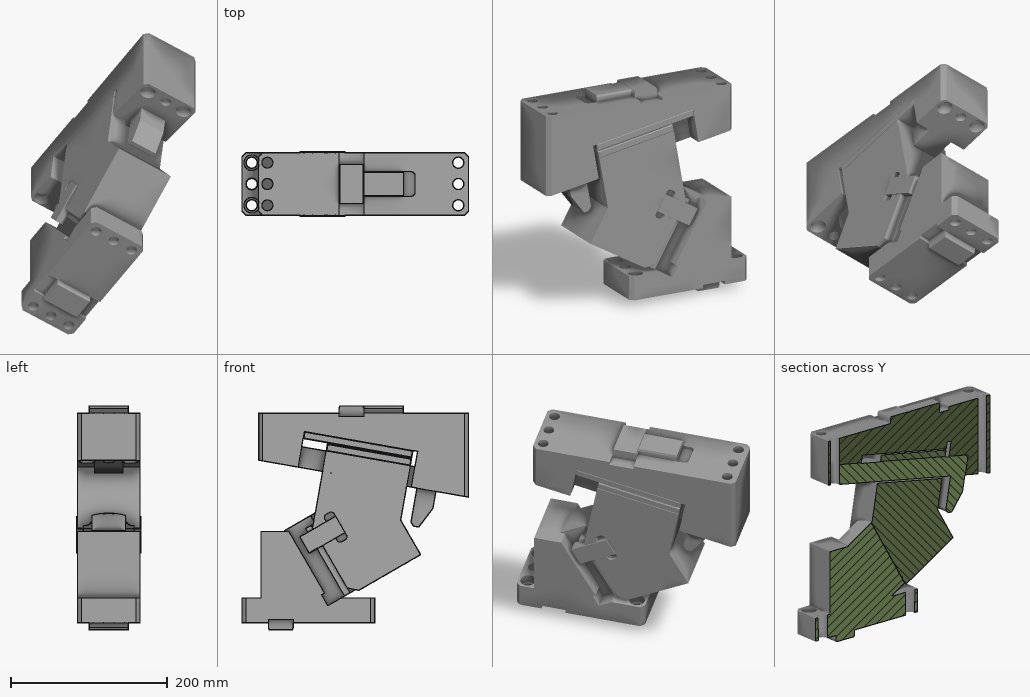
import cadquery as cq
import math


WIDTH = 80.0
CORNER_CHAMFER = 5.2
BIG = 580

HOLE_SPACING = 27.3
HOLE_DIA = 14.0
HEAD_DIA = 20.0

KEY_WIDTH = 32.0
KEY_LENGTH = 50.0
KEY_STAND_OUT = 9.0
KEYWAY_DEPTH = 4.5
KEY_CHAMFER = 1.2
KEY_CHAMFER_HEIGHT = 3.0

BASE_LENGTH = 170.0
FOOT_HEIGHT = 32.0
BLOCK_LEFT = 24.5
BLOCK_HEIGHT = 117.2
BASE_KEY_LEFT = 34.0
BASE_HOLE_INSET = 12.8
BASE_HEAD_DEPTH = 11.5
DOWEL_RELIEF_DIA = 15.0

GUIDE_ANGLE = 60
SEAT_X = 60.0
SEAT_GROOVE_DEPTH = 4.4
SEAT_GROOVE_START = 91.0
SEAT_END = 107.3

RAIL_START = -3.5
NECK_WIDTH = 43.0
FLANGE_START = 7.8
FLANGE_WIDTH = 65.0
FLANGE_UNDERSIDE = 20.3
FLANGE_TOP = 28.5
CROWN_RADIUS = 39.2
CROWN_HEIGHT = 40.5

DRIVER_LEFT = 21.5
DRIVER_RIGHT = 290.0
DRIVER_TOP = 268.2
DRIVER_LEFT_BOTTOM = 208.0
DRIVER_HOLE_LEFT = 32.8
DRIVER_HOLE_RIGHT = 276.7
DRIVER_HEAD_SEAT = 223.3
DRIVER_KEY_LEFT = 124.0
LONG_KEY_END = 206.5
LONG_KEYWAY_END = 221.5
LONG_KEYWAY_RADIUS = 5.8

DRIVE_ANGLE = 10
RECESS_LEFT = 51.3
RECESS_RIGHT = 198.0
RECESS_HEIGHT = 46.5
WEAR_PLATE = 9.3
PLATE_GAP = 1.2
PLATE_CHAMFER = 1.0
SLIDE_PLATE_BOTTOM = RECESS_HEIGHT - 2 * WEAR_PLATE - PLATE_GAP

SLIDE_LEFT = 83.0
SLIDE_RIGHT = 192.3
SLIDE_END = 110.2
SLIDE_BACK = 131.0
SLIDE_TOE_ALONG = 10.5
SLIDE_TOE_OUT = 11.3

KEEPER_START = 13.3
KEEPER_END = 37.5
KEEPER_BOTTOM = 8.7
KEEPER_TOP = 61.5
KEEPER_INSIDE = 33.0
KEEPER_OUTSIDE = 41.5
KEEPER_LIP = 27.0
KEEPER_LIP_RADIUS = 10.2
RELIEF_REACH = 8.0
RELIEF_WIDTH = 14.0
RELIEF_RADIUS = 4.5

BAR_WIDTH = 36.0
BAR_LEFT = 3.0
HOOK_LEFT = 205.3
HOOK_RIGHT = 230.3
HOOK_DROP = 48.7
HOOK_NOSE_CHAMFER = 4.5
HOOK_NOSE_RIGHT = 216.3
HOOK_SHOULDER_DROP = 21.8
BAR_CLEARANCE = 1.7


def side_plane(x, z, angle, y=0):
    """Plane facing -Y whose local X points right and down by `angle` degrees."""
    tilt = math.radians(angle)
    return cq.Plane((x, y, z), (math.cos(tilt), 0, -math.sin(tilt)), (0, -1, 0))


GUIDE = side_plane(SEAT_X, BLOCK_HEIGHT, GUIDE_ANGLE)
DRIVE = side_plane(DRIVER_LEFT, DRIVER_LEFT_BOTTOM, DRIVE_ANGLE)
FRONT = side_plane(0, 0, 0)


def slab(plane, points, width):
    """Prism of an outline, centred on Y = 0."""
    return cq.Workplane(plane).polyline(points).close().extrude(width / 2, both=True)


def bar(plane, x0, x1, y0, y1, width):
    """Rectangular prism of a given width, centred on Y = 0."""
    return slab(plane, [(x0, y0), (x1, y0), (x1, y1), (x0, y1)], width)


def point_on(plane, along, out):
    """X and Z of a point given in a tilted frame."""
    place = plane.toWorldCoords((along, out))
    return place.x, place.z


def key(length, width, height):
    """Key with chamfered long upper edges; it runs along Y and stands on Z = 0."""
    outline = [
        (-width / 2, 0),
        (width / 2, 0),
        (width / 2, height - KEY_CHAMFER_HEIGHT),
        (width / 2 - KEY_CHAMFER, height),
        (KEY_CHAMFER - width / 2, height),
        (-width / 2, height - KEY_CHAMFER_HEIGHT),
    ]
    return slab(FRONT, outline, length)


def chamfer_corners(body, x0, x1):
    """Cut the four vertical corner edges of a body that spans x0 to x1."""
    outline = cq.Workplane().center((x0 + x1) / 2, 0).rect(x1 - x0, WIDTH).extrude(BIG)
    return body.intersect(outline.edges("|Z").chamfer(CORNER_CHAMFER))


def cylinder(x, y, diameter, z0, z1):
    return cq.Workplane(origin=(x, y, z0)).circle(diameter / 2).extrude(z1 - z0)


def rail_section(start, end, flange_start):
    """Rail of T section with a crowned top; the flanges begin at flange_start."""
    top = cq.Plane(GUIDE.toWorldCoords((start, CROWN_HEIGHT - CROWN_RADIUS)), (0, 1, 0), GUIDE.xDir)
    crown = cq.Workplane(top).circle(CROWN_RADIUS).extrude(end - start)
    neck = bar(GUIDE, start, end, FLANGE_UNDERSIDE, BIG, NECK_WIDTH).intersect(crown)
    neck = neck.union(bar(GUIDE, start, end, -SEAT_GROOVE_DEPTH, FLANGE_UNDERSIDE, NECK_WIDTH))
    flange_crown = bar(GUIDE, flange_start, end, FLANGE_UNDERSIDE, BIG, FLANGE_WIDTH).intersect(crown)
    flanges = bar(GUIDE, flange_start, end, FLANGE_UNDERSIDE, FLANGE_TOP, FLANGE_WIDTH)
    return neck.union(flange_crown).union(flanges)


def base_holes():
    cuts = cq.Workplane()
    for x in (BASE_HOLE_INSET, BASE_LENGTH - BASE_HOLE_INSET):
        cuts = cuts.add(cylinder(x, 0, DOWEL_RELIEF_DIA, FOOT_HEIGHT / 2, FOOT_HEIGHT))
        for y in (-HOLE_SPACING, 0, HOLE_SPACING):
            cuts = cuts.add(cylinder(x, y, HOLE_DIA, 0, FOOT_HEIGHT))
        for y in (-HOLE_SPACING, HOLE_SPACING):
            cuts = cuts.add(cylinder(x, y, HEAD_DIA, FOOT_HEIGHT - BASE_HEAD_DEPTH, FOOT_HEIGHT))
    return cuts.combine()


def make_base():
    block_right, _ = point_on(GUIDE, SEAT_END, 0)
    block = bar(FRONT, BLOCK_LEFT, block_right, 0, BLOCK_HEIGHT, WIDTH)
    block = block.union(bar(FRONT, 0, BASE_LENGTH, 0, FOOT_HEIGHT, WIDTH))
    block = block.cut(bar(GUIDE, -BIG, SEAT_END, 0, BIG, BIG))
    block = block.cut(bar(GUIDE, SEAT_GROOVE_START, SEAT_END, -SEAT_GROOVE_DEPTH, BIG, BIG))
    block = chamfer_corners(block, 0, BASE_LENGTH).cut(base_holes())
    key_right = BASE_KEY_LEFT + KEY_WIDTH
    block = block.cut(bar(FRONT, BASE_KEY_LEFT, key_right, 0, KEYWAY_DEPTH, BIG))
    base_key = key(KEY_LENGTH, KEY_WIDTH, KEYWAY_DEPTH + KEY_STAND_OUT).mirror("XY")
    base_key = base_key.translate((BASE_KEY_LEFT + KEY_WIDTH / 2, 0, KEYWAY_DEPTH))
    return block.union(base_key).union(rail_section(RAIL_START, SEAT_END, FLANGE_START))


def driver_holes():
    cuts = cq.Workplane()
    for x in (DRIVER_HOLE_LEFT, DRIVER_HOLE_RIGHT):
        for y in (-HOLE_SPACING, 0, HOLE_SPACING):
            cuts = cuts.add(cylinder(x, y, HOLE_DIA, 0, DRIVER_TOP))
        for y in (-HOLE_SPACING, HOLE_SPACING):
            cuts = cuts.add(cylinder(x, y, HEAD_DIA, 0, DRIVER_HEAD_SEAT))
    return cuts.combine()


def wear_plate(left, right, bottom):
    plate = bar(DRIVE, left, right, bottom, bottom + WEAR_PLATE, WIDTH)
    return plate.faces("<Y or >Y").edges().chamfer(PLATE_CHAMFER)


def driver_keys(block):
    """Cut the cross keyway and the long keyway, and add the key in each."""
    floor = DRIVER_TOP - KEYWAY_DEPTH
    height = KEYWAY_DEPTH + KEY_STAND_OUT
    key_right = DRIVER_KEY_LEFT + KEY_WIDTH
    block = block.cut(bar(FRONT, DRIVER_KEY_LEFT, key_right, floor, BIG, BIG))
    long_keyway = (
        cq.Workplane(origin=((key_right + LONG_KEYWAY_END) / 2, 0, floor))
        .rect(LONG_KEYWAY_END - key_right, KEY_WIDTH)
        .extrude(BIG)
        .edges("|Z and >X")
        .fillet(LONG_KEYWAY_RADIUS)
    )
    cross_key = key(KEY_LENGTH, KEY_WIDTH, height)
    cross_key = cross_key.translate((DRIVER_KEY_LEFT + KEY_WIDTH / 2, 0, floor))
    long_key = key(LONG_KEY_END - key_right, KEY_WIDTH, height).rotate((0, 0, 0), (0, 0, 1), 90)
    long_key = long_key.translate(((key_right + LONG_KEY_END) / 2, 0, floor))
    return block.cut(long_keyway).union(cross_key).union(long_key)


def make_driver(return_bar):
    length = DRIVER_RIGHT - DRIVER_LEFT
    right_bottom = DRIVER_LEFT_BOTTOM - length * math.tan(math.radians(DRIVE_ANGLE))
    block = slab(
        FRONT,
        [
            (DRIVER_LEFT, DRIVER_LEFT_BOTTOM),
            (DRIVER_RIGHT, right_bottom),
            (DRIVER_RIGHT, DRIVER_TOP),
            (DRIVER_LEFT, DRIVER_TOP),
        ],
        WIDTH,
    )
    block = chamfer_corners(block, DRIVER_LEFT, DRIVER_RIGHT).cut(driver_holes())
    block = driver_keys(block)
    block = block.cut(bar(DRIVE, RECESS_LEFT, RECESS_RIGHT, -BIG, RECESS_HEIGHT, BIG))
    block = block.union(wear_plate(RECESS_LEFT, SLIDE_RIGHT, RECESS_HEIGHT - WEAR_PLATE))
    return block.cut(return_bar)


def make_return_bar():
    outline = [
        (BAR_LEFT, 0),
        (HOOK_LEFT, 0),
        (HOOK_LEFT, HOOK_NOSE_CHAMFER - HOOK_DROP),
        (HOOK_LEFT + HOOK_NOSE_CHAMFER, -HOOK_DROP),
        (HOOK_NOSE_RIGHT, -HOOK_DROP),
        (HOOK_RIGHT, -HOOK_SHOULDER_DROP),
        (HOOK_RIGHT, SLIDE_PLATE_BOTTOM),
        (BAR_LEFT, SLIDE_PLATE_BOTTOM),
    ]
    return slab(DRIVE, outline, BAR_WIDTH).cut(driver_holes())


def keeper_pocket(side):
    """Pocket for a keeper in one flank of the slide, with rounded corner reliefs."""
    plane = side_plane(SEAT_X, BLOCK_HEIGHT, GUIDE_ANGLE, -KEEPER_INSIDE)
    start = KEEPER_START - RELIEF_REACH
    end = KEEPER_END + RELIEF_REACH
    relief = (
        cq.Workplane(plane)
        .center((start + end) / 2, KEEPER_TOP - RELIEF_WIDTH / 2)
        .rect(end - start, RELIEF_WIDTH)
        .extrude(BIG)
        .edges("|Y")
        .fillet(RELIEF_RADIUS)
    )
    return relief if side < 0 else relief.mirror("XZ")


def keeper(side):
    """Keeper block whose lip reaches under the rail flange."""
    plane = side_plane(SEAT_X, BLOCK_HEIGHT, GUIDE_ANGLE, -KEEPER_OUTSIDE)
    middle = (KEEPER_START + KEEPER_END) / 2
    length = KEEPER_END - KEEPER_START
    plate = (
        cq.Workplane(plane)
        .center(middle, (KEEPER_BOTTOM + KEEPER_TOP) / 2)
        .rect(length, KEEPER_TOP - KEEPER_BOTTOM)
        .extrude(KEEPER_INSIDE - KEEPER_OUTSIDE)
    )
    lip = (
        cq.Workplane(plane)
        .center(middle, (KEEPER_BOTTOM + FLANGE_UNDERSIDE) / 2)
        .rect(length, FLANGE_UNDERSIDE - KEEPER_BOTTOM)
        .extrude(KEEPER_LIP - KEEPER_OUTSIDE)
    )
    inner_edges = lip.faces(">Y").edges(cq.selectors.ParallelDirSelector(GUIDE.yDir))
    lip = inner_edges.edges(">X").fillet(KEEPER_LIP_RADIUS)
    whole = plate.union(lip)
    return whole if side < 0 else whole.mirror("XZ")


def flank_corner(along, out):
    """Corner where a slide flank meets a plane at distance `out` from the guide seat."""
    foot_x, foot_z = point_on(DRIVE, along, 0)
    foot_out = GUIDE.toLocalCoords(cq.Vector(foot_x, 0, foot_z)).y
    rise = (out - foot_out) / math.cos(math.radians(GUIDE_ANGLE - DRIVE_ANGLE))
    return point_on(DRIVE, along, rise)


def make_slide():
    outline = [
        point_on(DRIVE, SLIDE_LEFT, SLIDE_PLATE_BOTTOM),
        point_on(DRIVE, SLIDE_RIGHT, SLIDE_PLATE_BOTTOM),
        flank_corner(SLIDE_RIGHT, SLIDE_BACK),
        point_on(GUIDE, SLIDE_END, SLIDE_BACK),
        point_on(GUIDE, SLIDE_END, FLANGE_TOP + SLIDE_TOE_OUT),
        point_on(GUIDE, SLIDE_END - SLIDE_TOE_ALONG, FLANGE_TOP),
        flank_corner(SLIDE_LEFT, FLANGE_TOP),
    ]
    slide = slab(FRONT, outline, WIDTH)
    slide = slide.cut(bar(DRIVE, -BIG, BIG, -BAR_CLEARANCE, SLIDE_PLATE_BOTTOM, BAR_WIDTH))
    slide = slide.union(wear_plate(SLIDE_LEFT, SLIDE_RIGHT, SLIDE_PLATE_BOTTOM))
    slide = slide.cut(rail_section(-BIG, BIG, -BIG))
    for side in (-1, 1):
        slide = slide.cut(keeper_pocket(side)).union(keeper(side))
    return slide


base = make_base()
return_bar = make_return_bar()
driver = make_driver(return_bar)
slide = make_slide()
result = cq.Compound.makeCompound([base.val(), slide.val(), driver.val(), return_bar.val()])